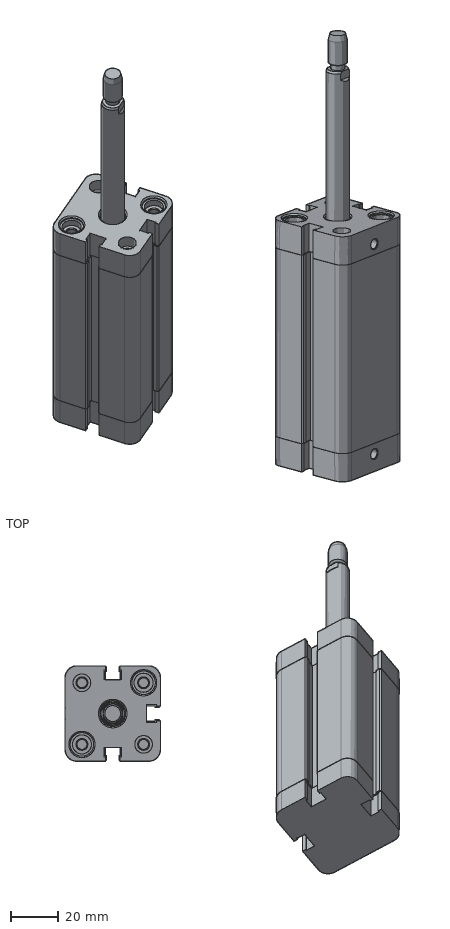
import cadquery as cq
import math

TOTAL_HEIGHT = 191.0
BODY_HEIGHT = 109.3
CAP_HEIGHT = 12.6
HEAD_JOINT_Z = BODY_HEIGHT - CAP_HEIGHT
BASE_JOINT_Z = CAP_HEIGHT

CAP_JOINT_SIDE = 40.3
CAP_END_SIDE = 40.1
TUBE_SIDE = 40.1
CORNER_CENTER = 15.0

SLOT_ANGLES = (0, 90, -90)
SLOT_FLOOR = 14.3
CAP_SLOT_MOUTH = 6.3
CAP_SLOT_INNER = 7.5
CAP_SLOT_LIP = 18.3
TUBE_SLOT_MOUTH = 5.2
TUBE_SLOT_INNER = 6.3
TUBE_SLOT_LIP = 17.8
TUBE_SLOT_CHAMFER = 0.5

HOLE_OFFSET = 13.0
SMALL_BORE = 7.5
SMALL_BORE_DEPTH = 5.3
LARGE_BORE = 8.0
LARGE_BORE_DEPTH = 4.2
LARGE_SEAT = 10.0
LARGE_SEAT_DEPTH = 1.1
LARGE_RIM = 11.0
LARGE_HOLE_CORNERS = ((1, 1), (-1, -1))
SMALL_HOLE_CORNERS = ((1, -1), (-1, 1))

THREAD_MAJOR = 5.0
THREAD_CORE = 4.2
THREAD_ENTRY = (THREAD_MAJOR - THREAD_CORE) / 2
CORNER_THREAD_DEPTH = 3.8
PORT_DEPTH = 5.7
PORT_INSET = 7.8

ROD_DIAMETER = 10.0
ROD_SHOULDER_Z = 175.3
ROD_SHOULDER_DIAMETER = 9.0
ROD_BEVEL_HEIGHT = 1.0
NECK_DIAMETER = 6.0
STUD_DIAMETER = 8.0
STUD_BOTTOM_Z = 178.0
STUD_BOTTOM_BEVEL = 0.5
STUD_TIP_DIAMETER = 6.7
STUD_TIP_HEIGHT = 2.7
FLAT_WIDTH = 8.0
FLAT_BOTTOM_Z = 171.7

ROD_RECESS = 10.9
ROD_RECESS_DEPTH = 2.0
ROD_RECESS_BEVEL = 12.0


def rounded_prism(side, bottom_z, height, end_side=None):
    """Square prism with round corners, tapering to end_side at its top if one is given."""
    taper = math.degrees(math.atan((side - (end_side or side)) / 2 / height))
    outline = cq.Sketch().rect(side, side).vertices().fillet(side / 2 - CORNER_CENTER)
    return cq.Workplane(origin=(0, 0, bottom_z)).placeSketch(outline).extrude(height, taper=taper)


def cut_slots(body, mouth, inner, lip, outer_side, chamfer=0):
    """Cut a full-height T-slot into each slotted side, with optional bevelled mouth edges."""
    face = outer_side / 2
    half_outline = [(SLOT_FLOOR, inner / 2), (lip, inner / 2), (lip, mouth / 2)]
    if chamfer:
        half_outline += [(face - chamfer, mouth / 2)]
    half_outline += [(face, mouth / 2 + chamfer)]
    mirrored_half = [(x, -y) for x, y in reversed(half_outline)]
    slot = cq.Workplane().polyline(half_outline + mirrored_half).close().extrude(BODY_HEIGHT)
    for angle in SLOT_ANGLES:
        body = body.cut(slot.rotate((0, 0, 0), (0, 0, 1), angle))
    return body


def hole_cutter(profile):
    """Turned cutter from (diameter, depth) steps; it enters at the origin and goes toward -Z."""
    points = [(0, 0)]
    points += [(diameter / 2, -depth) for diameter, depth in profile]
    points += [(0, -profile[-1][1])]
    return cq.Workplane("XZ").polyline(points).close().revolve(360, (0, 0), (0, 1))


def threaded_hole_steps(start, depth):
    """Steps of a bevelled thread core hole that begins at the given depth."""
    return [
        (THREAD_MAJOR, start),
        (THREAD_CORE, start + THREAD_ENTRY),
        (THREAD_CORE, start + depth),
    ]


def cut_port(cap, port_z):
    """Cut the threaded air port into the -X side of a cap."""
    port = hole_cutter(threaded_hole_steps(0, PORT_DEPTH))
    port = port.rotate((0, 0, 0), (0, 1, 0), -90)
    return cap.cut(port.translate((-CAP_JOINT_SIDE / 2, 0, port_z)))


def slotted_cap():
    """Cap blank standing on its joint face, with its air port."""
    cap = rounded_prism(CAP_JOINT_SIDE, 0, CAP_HEIGHT, CAP_END_SIDE)
    cap = cut_slots(cap, CAP_SLOT_MOUTH, CAP_SLOT_INNER, CAP_SLOT_LIP, CAP_JOINT_SIDE)
    return cut_port(cap, CAP_HEIGHT - PORT_INSET)


def make_base_cap():
    return slotted_cap().mirror("XY").translate((0, 0, BASE_JOINT_Z))


def make_head_cap():
    cap = slotted_cap().translate((0, 0, HEAD_JOINT_Z))

    small_hole = hole_cutter(
        [(SMALL_BORE, 0), (SMALL_BORE, SMALL_BORE_DEPTH)]
        + threaded_hole_steps(SMALL_BORE_DEPTH, CORNER_THREAD_DEPTH)
    )
    large_hole = hole_cutter(
        [
            (LARGE_RIM, 0),
            (LARGE_SEAT, (LARGE_RIM - LARGE_SEAT) / 2),
            (LARGE_SEAT, LARGE_SEAT_DEPTH),
            (LARGE_BORE, LARGE_SEAT_DEPTH),
            (LARGE_BORE, LARGE_BORE_DEPTH),
        ]
        + threaded_hole_steps(LARGE_BORE_DEPTH, CORNER_THREAD_DEPTH)
    )
    for hole, corners in ((small_hole, SMALL_HOLE_CORNERS), (large_hole, LARGE_HOLE_CORNERS)):
        for x_sign, y_sign in corners:
            cap = cap.cut(hole.translate((x_sign * HOLE_OFFSET, y_sign * HOLE_OFFSET, BODY_HEIGHT)))

    rod_opening = hole_cutter(
        [
            (ROD_RECESS_BEVEL, 0),
            (ROD_RECESS, (ROD_RECESS_BEVEL - ROD_RECESS) / 2),
            (ROD_RECESS, ROD_RECESS_DEPTH),
            (ROD_DIAMETER, ROD_RECESS_DEPTH),
            (ROD_DIAMETER, CAP_HEIGHT),
        ]
    )
    return cap.cut(rod_opening.translate((0, 0, BODY_HEIGHT)))


def make_tube():
    tube = rounded_prism(TUBE_SIDE, BASE_JOINT_Z, HEAD_JOINT_Z - BASE_JOINT_Z)
    return cut_slots(
        tube, TUBE_SLOT_MOUTH, TUBE_SLOT_INNER, TUBE_SLOT_LIP, TUBE_SIDE, TUBE_SLOT_CHAMFER
    )


def make_rod():
    """Rod with a necked stud on top and two wrench flats below the shoulder."""
    profile = [
        (ROD_DIAMETER, HEAD_JOINT_Z),
        (ROD_DIAMETER, ROD_SHOULDER_Z - ROD_BEVEL_HEIGHT),
        (ROD_SHOULDER_DIAMETER, ROD_SHOULDER_Z),
        (NECK_DIAMETER, ROD_SHOULDER_Z),
        (NECK_DIAMETER, STUD_BOTTOM_Z - STUD_BOTTOM_BEVEL),
        (STUD_DIAMETER, STUD_BOTTOM_Z),
        (STUD_DIAMETER, TOTAL_HEIGHT - STUD_TIP_HEIGHT),
        (STUD_TIP_DIAMETER, TOTAL_HEIGHT),
    ]
    points = [(0, HEAD_JOINT_Z)]
    points += [(diameter / 2, z) for diameter, z in profile]
    points += [(0, TOTAL_HEIGHT)]
    rod = cq.Workplane("XZ").polyline(points).close().revolve(360, (0, 0), (0, 1))

    run_out = (ROD_DIAMETER - FLAT_WIDTH) / 2
    flat = (
        cq.Workplane("XZ")
        .moveTo(FLAT_WIDTH / 2, ROD_SHOULDER_Z)
        .lineTo(FLAT_WIDTH / 2, FLAT_BOTTOM_Z)
        .lineTo(FLAT_WIDTH / 2 + run_out, FLAT_BOTTOM_Z - run_out)
        .lineTo(FLAT_WIDTH / 2 + run_out, ROD_SHOULDER_Z)
        .close()
        .extrude(ROD_DIAMETER / 2, both=True)
    )
    return rod.cut(flat).cut(flat.mirror("YZ"))


base_cap = make_base_cap()
tube = make_tube()
head_cap = make_head_cap()
rod = make_rod()

result = cq.Compound.makeCompound([base_cap.val(), tube.val(), head_cap.val(), rod.val()])